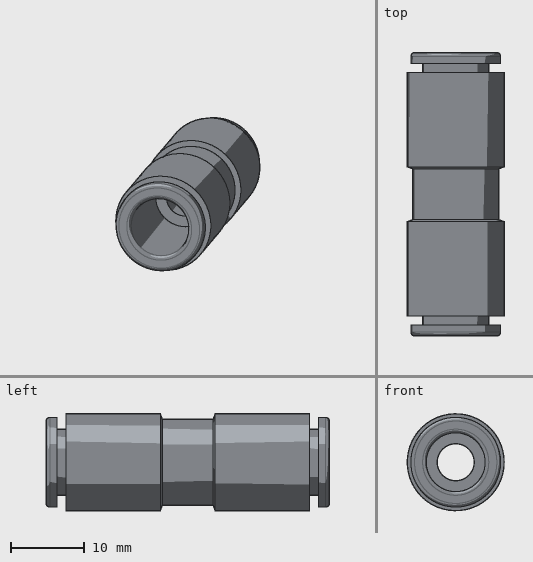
import cadquery as cq


overall_length = 38.5
collar_thickness = 1.5
collar_gap = 1.2
waist_length = 6.9
taper_length = 0.27
tube_socket_depth = 17.0

body_diameter = 13.2
waist_diameter = 11.7
collar_diameter = 12.2
neck_diameter = 9.0
socket_diameter = 8.0
passage_diameter = 5.0

collar_fillet = 0.5

half_length = overall_length / 2
collar_inner_face = half_length - collar_thickness
body_end = collar_inner_face - collar_gap
waist_end = waist_length / 2
socket_floor = half_length - tube_socket_depth


def cylinder(diameter, start, end):
    """Solid cylinder on the Y axis between two Y stations."""
    plane = cq.Plane(origin=(0, start, 0), xDir=(1, 0, 0), normal=(0, 1, 0))
    return cq.Workplane(plane).circle(diameter / 2).extrude(end - start)


def body_barrel():
    """Body barrel of the +Y half, with its conical shoulder down to the waist."""
    profile = [
        (0, waist_end),
        (waist_diameter / 2, waist_end),
        (body_diameter / 2, waist_end + taper_length),
        (body_diameter / 2, body_end),
        (0, body_end),
    ]
    return cq.Workplane("XY").polyline(profile).close().revolve(360, (0, 0), (0, 1))


def release_collar():
    """Ring at the +Y end, with both edges of its end face rounded."""
    ring = cylinder(collar_diameter, collar_inner_face, half_length)
    ring = ring.cut(cylinder(socket_diameter, collar_inner_face, half_length))
    return ring.faces(">Y").edges().fillet(collar_fillet)


def end_fitting():
    """Barrel, neck and collar of the +Y half, bored for the tube."""
    barrel_and_neck = body_barrel().union(cylinder(neck_diameter, body_end, collar_inner_face))
    socket = cylinder(socket_diameter, socket_floor, half_length)
    return barrel_and_neck.cut(socket).union(release_collar())


def waist():
    """Narrow middle joining the two end fittings, with the inner ends of both sockets."""
    core = cylinder(waist_diameter, -waist_end, waist_end)
    socket = cylinder(socket_diameter, socket_floor, waist_end)
    return core.cut(socket).cut(socket.mirror("XZ"))


fitting = end_fitting()
passage = cylinder(passage_diameter, -half_length, half_length)
result = waist().union(fitting).union(fitting.mirror("XZ")).cut(passage).clean()